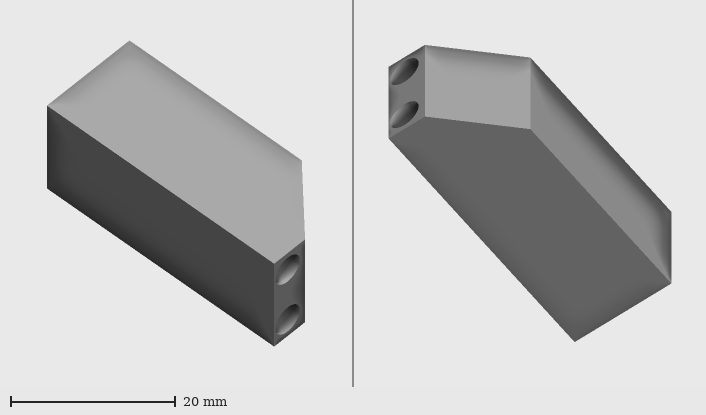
import cadquery as cq

length = 37.9
depth = 14.65
height = 15.0

front_strip_depth = 5.5
corner_cut = depth - front_strip_depth

bore_diameter = 4.32
bore_from_front = 2.4
bore_spacing = 9.02


def make_body():
    """Block with its rear +X corner cut off."""
    return (
        cq.Workplane("XY")
        .moveTo(0, 0)
        .lineTo(length, 0)
        .lineTo(length, front_strip_depth)
        .lineTo(length - corner_cut, depth)
        .lineTo(0, depth)
        .close()
        .extrude(height)
    )


def make_bores():
    """Cylinders for the two bores running the full length."""
    middle = height / 2
    bore_centres = [
        (bore_from_front, middle - bore_spacing / 2),
        (bore_from_front, middle + bore_spacing / 2),
    ]
    return (
        cq.Workplane("YZ")
        .pushPoints(bore_centres)
        .circle(bore_diameter / 2)
        .extrude(length)
    )


result = make_body().cut(make_bores())